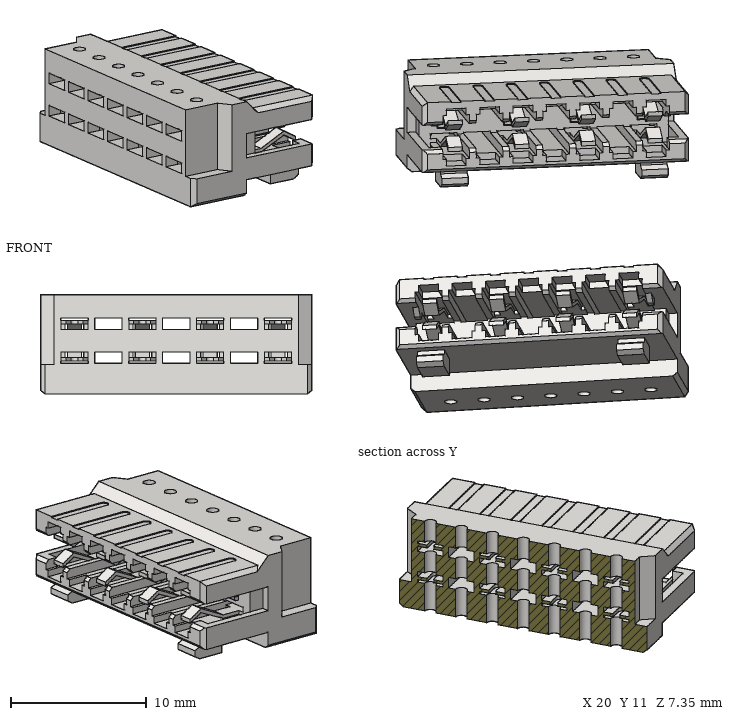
import cadquery as cq

length = 20.0
depth = 11.0
height = 7.35
corner_chamfer = 0.35

body_depth = 4.82
arm_top = 6.65
slot_middle = 3.95
slot_half_height = 0.95
lower_arm_bottom = 1.3
slot_bottom = slot_middle - slot_half_height
slot_top = slot_middle + slot_half_height
arm_edge_chamfer = 0.25
base_edge_chamfer = 0.28

base_height = 2.2
shoulder_width = 0.98
shoulder_front_depth = 2.85
shoulder_back_depth = 3.52

column_count = 7
pitch = 2.5
column_xs = [(i - (column_count - 1) / 2) * pitch for i in range(column_count)]
contact_xs = column_xs[::2]

channel_width = 2.0
channel_height = 0.82
channel_floor = 2.28
tip_pocket_width = 1.48
tip_pocket_front_y = 9.42
tip_pocket_floor = 1.78

hole_diameter = 0.9
hole_y = 2.05
groove_width = 0.72
groove_depth = 0.08
groove_end_y = 5.98

wall_half_length = 9.35
wall_back_y = 6.02
relief_back_y = 10.0
relief_bottom = 1.7
relief_inner_x = column_xs[-1] + channel_width / 2

guide_rib_width = 0.45

pip_length = 1.0
pip_core_length = 0.68
pip_projection = 0.38
pip_height = 0.8
pip_gap = 0.2
pip_chamfer = 0.1

plate_bottom = 2.45
plate_thickness = 0.28
plate_top = plate_bottom + plate_thickness
plate_tip_y = 0.8
plate_back_y = wall_back_y
fork_slot_width = 0.52
tine_tip_inset = 0.35
tine_rise = 0.5
fork_slot_end_y = 3.0
ear_width = 0.32
ear_front_y = 3.6
spring_width = 1.05
spring_thickness = 0.32
spring_peak_y = 9.58
spring_peak_z = 3.7
spring_tip_y = 10.6
spring_front_slope = 0.47
spring_tip_slope = 0.6

latch_width = 2.0
latch_x = column_xs[-1]


def box(x0, x1, y0, y1, z0, z1):
    return cq.Workplane("XY").box(x1 - x0, y1 - y0, z1 - z0, centered=False).translate((x0, y0, z0))


def side_prism(points, x0, x1):
    """Extrude a (Y, Z) outline from x0 to x1."""
    return cq.Workplane("YZ").polyline(points).close().extrude(x1 - x0).translate((x0, 0, 0))


def mirror_x(shape):
    return shape.union(shape.mirror("YZ"))


def flip_to_upper_row(shape):
    return shape.mirror("XY", (0, 0, slot_middle))


def make_housing():
    """Plain side profile with chamfered vertical corners."""
    slope_top = height - arm_top
    profile = [
        (0, 0),
        (body_depth, 0),
        (body_depth, lower_arm_bottom),
        (depth - arm_edge_chamfer, lower_arm_bottom),
        (depth, lower_arm_bottom + arm_edge_chamfer),
        (depth, slot_bottom - arm_edge_chamfer),
        (depth - arm_edge_chamfer, slot_bottom),
        (body_depth, slot_bottom),
        (body_depth, slot_top),
        (depth - arm_edge_chamfer, slot_top),
        (depth, slot_top + arm_edge_chamfer),
        (depth, arm_top),
        (body_depth + slope_top, arm_top),
        (body_depth, height),
        (0, height),
    ]
    housing = side_prism(profile, -length / 2, length / 2)
    envelope = box(-length / 2, length / 2, 0, depth, 0, height).edges("|Z").chamfer(corner_chamfer)
    return housing.intersect(envelope)


def make_side_cuts():
    """Shoulders, arm edge chamfers and base edge chamfers of the +X side."""
    side = length / 2
    shoulder = (
        cq.Workplane("XY", origin=(0, 0, base_height))
        .polyline([
            (side, 0),
            (side, shoulder_back_depth),
            (side - shoulder_width, shoulder_front_depth),
            (side - shoulder_width, 0),
        ])
        .close()
        .extrude(height - base_height)
    )
    slope_foot_y = body_depth + height - arm_top
    chamfer_foot_y = slope_foot_y + corner_chamfer
    arm_block = side_prism(
        [
            (slope_foot_y, arm_top),
            (depth, arm_top),
            (depth, arm_top - corner_chamfer),
            (chamfer_foot_y, arm_top - corner_chamfer),
        ],
        side - corner_chamfer,
        side,
    )
    arm_bevel = (
        cq.Workplane("XZ")
        .polyline([
            (side, arm_top),
            (side - corner_chamfer, arm_top),
            (side, arm_top - corner_chamfer),
        ])
        .close()
        .extrude(-depth)
    )
    base_bevel = (
        cq.Workplane("XZ")
        .polyline([(side, 0), (side - corner_chamfer, 0), (side, base_edge_chamfer)])
        .close()
        .extrude(-body_depth)
    )
    return shoulder.union(arm_bevel.intersect(arm_block)).union(base_bevel)


def make_end_relief():
    """Deep groove in the lower arm beside the last +X channel."""
    return box(relief_inner_x, wall_half_length, wall_back_y, relief_back_y, relief_bottom, slot_bottom)


def make_channel(x):
    """Channels of both rows, each deepened at the open arm end."""
    half = channel_width / 2
    lower = box(x - half, x + half, 0, depth, channel_floor, channel_floor + channel_height)
    half_pocket = tip_pocket_width / 2
    pocket = box(x - half_pocket, x + half_pocket, tip_pocket_front_y, depth, tip_pocket_floor, slot_bottom)
    lower = lower.union(pocket)
    return lower.union(flip_to_upper_row(lower))


def make_top_groove(x):
    radius = groove_width / 2
    round_y = groove_end_y + radius
    return (
        cq.Workplane("XY", origin=(x, 0, arm_top - groove_depth))
        .moveTo(radius, depth)
        .lineTo(radius, round_y)
        .threePointArc((0, groove_end_y), (-radius, round_y))
        .lineTo(-radius, depth)
        .close()
        .extrude(groove_depth)
    )


def make_wire_hole(x):
    return cq.Workplane("XY").center(x, hole_y).circle(hole_diameter / 2).extrude(height)


def make_guide_rib():
    """Wedge under the upper arm above the +X relief."""
    wedge = [
        (9.65, slot_top),
        (8.95, 4.35),
        (8.4, 4.35),
        (8.3, slot_top),
    ]
    return side_prism(wedge, relief_inner_x, relief_inner_x + guide_rib_width)


def make_latch():
    """Hook under the lower arm near the +X end."""
    outline = [
        (8.0, 0),
        (10.1, 0),
        (10.55, 0.28),
        (10.55, 0.75),
        (10.02, 0.98),
        (10.02, lower_arm_bottom),
        (8.0, lower_arm_bottom),
    ]
    return side_prism(outline, latch_x - latch_width / 2, latch_x + latch_width / 2)


def make_pip(x):
    """Small stop on the middle wall with a narrowed waist."""
    tip_y = wall_back_y + pip_projection
    z0 = slot_middle - pip_height / 2
    z1 = slot_middle + pip_height / 2
    half = pip_length / 2
    core = pip_core_length / 2
    pip = box(x - half, x + half, wall_back_y, tip_y, z0, z1)
    pip = pip.faces(">Y").edges("|X").chamfer(pip_chamfer)
    waist = box(x - half, x + half, wall_back_y, tip_y, slot_middle - pip_gap / 2, slot_middle + pip_gap / 2)
    waist = waist.cut(box(x - core, x + core, wall_back_y, tip_y, z0, z1))
    return pip.cut(waist)


def make_contact(x):
    """Contact of the lower row, joined to both channel sides."""
    half = channel_width / 2
    slot_half = fork_slot_width / 2
    tine_root_y = plate_tip_y + tine_rise
    plate = (
        cq.Workplane("XY", origin=(x, 0, plate_bottom))
        .moveTo(-half, tine_root_y)
        .lineTo(-half + tine_tip_inset, plate_tip_y)
        .lineTo(-slot_half, tine_root_y)
        .lineTo(-slot_half, fork_slot_end_y)
        .threePointArc((0, fork_slot_end_y + slot_half), (slot_half, fork_slot_end_y))
        .lineTo(slot_half, tine_root_y)
        .lineTo(slot_half + tine_tip_inset, plate_tip_y)
        .lineTo(half, tine_root_y)
        .lineTo(half, plate_back_y)
        .lineTo(-half, plate_back_y)
        .close()
        .extrude(plate_thickness)
    )
    for x0 in (x - half, x + half - ear_width):
        ear = box(x0, x0 + ear_width, ear_front_y, body_depth, plate_top, channel_floor + channel_height)
        plate = plate.union(ear)

    tip_z = spring_peak_z - spring_tip_slope * (spring_tip_y - spring_peak_y)
    bend_y = spring_peak_y - (spring_peak_z - plate_top) / spring_front_slope
    spring = side_prism(
        [
            (plate_back_y, plate_top),
            (bend_y, plate_top),
            (spring_peak_y, spring_peak_z),
            (spring_tip_y, tip_z),
            (spring_tip_y, tip_z - spring_thickness),
            (spring_peak_y, spring_peak_z - spring_thickness),
            (bend_y, plate_bottom),
            (plate_back_y, plate_bottom),
        ],
        x - spring_width / 2,
        x + spring_width / 2,
    )
    return plate.union(spring)


result = make_housing()
result = result.union(
    box(-wall_half_length, wall_half_length, body_depth, wall_back_y, slot_bottom, slot_top)
)
result = result.cut(mirror_x(make_side_cuts()))
result = result.cut(mirror_x(make_end_relief()))
for column_x in column_xs:
    result = result.cut(make_channel(column_x))
    result = result.cut(make_top_groove(column_x))
    result = result.cut(make_wire_hole(column_x))

result = result.union(mirror_x(make_guide_rib()))
result = result.union(mirror_x(make_latch()))

for contact_x in contact_xs:
    contact = make_contact(contact_x)
    result = result.union(contact)
    result = result.union(flip_to_upper_row(contact))
    result = result.union(make_pip(contact_x))